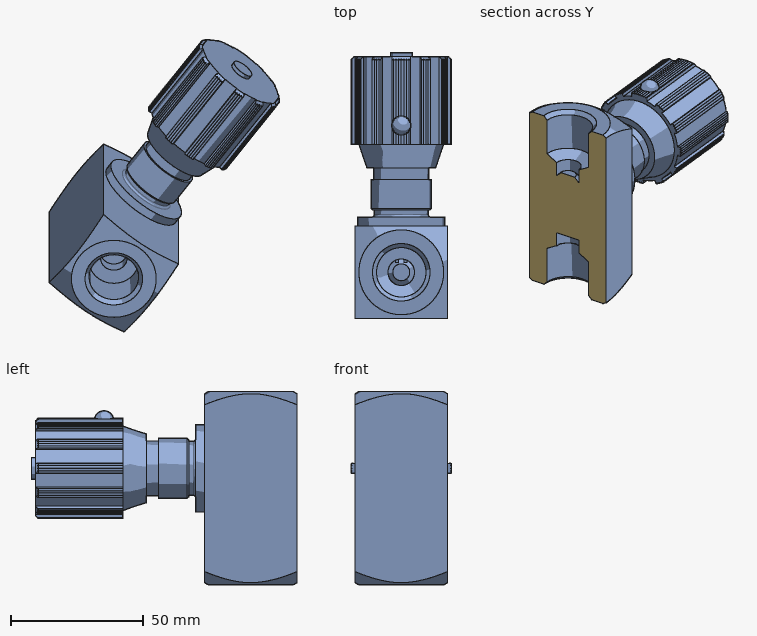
import cadquery as cq
import math

BODY_SIDE = 35.0
BODY_HEIGHT = 73.0
END_FACE_DIA = 32.0
END_BEVEL_ANGLE = 30.0

PORT_BORE_DIA = 18.63
PORT_BORE_DEPTH = 16.0
PORT_MOUTH_DIA = 21.7
PORT_FLOOR_ANGLE = 30.0
PASSAGE_DIA = 10.0
PASSAGE_DEPTH = 24.0

NOSE_TIP_DIA = 6.4
NOSE_HEIGHT = (PASSAGE_DIA - NOSE_TIP_DIA) / 2
NOTCH_INNER_X = 0.95
NOTCH_OUTER_X = 2.1
NOTCH_FLOOR_Y = 3.7

SPINDLE_AXIS_Z = 7.5
FLANGE_DIA = 33.0
FLANGE_END_Y = 20.8
FLANGE_FILLET = 0.9
GROOVE_DIA = 20.5
GROOVE_END_Y = 23.4
COLLAR_DIA = 22.7
COLLAR_CHAMFER = 0.6
COLLAR_END_Y = 34.9
NECK_DIA = 20.8
SKIRT_START_Y = 39.4
SKIRT_START_DIA = 26.0
SKIRT_END_DIA = 32.0
SPINDLE_TIP_DIA = 8.3
SPINDLE_TIP_Y = 82.8

GRIP_START_Y = 48.25
GRIP_END_Y = 81.3
GRIP_DIA = 38.0
DRUM_DIA = 35.0
GRIP_CHAMFER = 1.2
PAD_COUNT = 12
PAD_TEETH = 4
WIDE_PAD_TEETH = 8
WIDE_PAD_WIDTH = 7.0
WIDE_PAD_ANGLE = 90.0
TOOTH_PITCH_ANGLE = 3.0
TOOTH_DEPTH = 0.35

DOME_RADIUS = 3.7
DOME_CENTRE_Y = 55.35
DOME_CENTRE_HEIGHT = 18.05
DOME_BASE_HEIGHT = GRIP_DIA / 2 - TOOTH_DEPTH


def revolve_about_z(profile):
    """Revolve closed (radius, z) points about the Z axis."""
    return cq.Workplane("XZ").polyline(profile).close().revolve(360, (0, 0), (0, 1))


def make_body():
    """Square bar with both ends turned to a shallow cone."""
    bar = cq.Workplane("XY").box(BODY_SIDE, BODY_SIDE, BODY_HEIGHT)
    half_height = BODY_HEIGHT / 2
    face_radius = END_FACE_DIA / 2
    outer_radius = BODY_SIDE
    bevel_drop = (outer_radius - face_radius) * math.tan(math.radians(END_BEVEL_ANGLE))
    turned = revolve_about_z([
        (0, -half_height),
        (face_radius, -half_height),
        (outer_radius, -half_height + bevel_drop),
        (outer_radius, half_height - bevel_drop),
        (face_radius, half_height),
        (0, half_height),
    ])
    return bar.intersect(turned)


def make_port():
    """Cutter for the upper port: chamfered bore, conical floor and passage."""
    top = BODY_HEIGHT / 2
    mouth_radius = PORT_MOUTH_DIA / 2
    bore_radius = PORT_BORE_DIA / 2
    passage_radius = PASSAGE_DIA / 2
    bore_floor = top - PORT_BORE_DEPTH
    floor_drop = (bore_radius - passage_radius) * math.tan(math.radians(PORT_FLOOR_ANGLE))
    return revolve_about_z([
        (0, top),
        (mouth_radius, top),
        (bore_radius, top - (mouth_radius - bore_radius)),
        (bore_radius, bore_floor),
        (passage_radius, bore_floor - floor_drop),
        (passage_radius, top - PASSAGE_DEPTH),
        (0, top - PASSAGE_DEPTH),
    ])


def make_nose():
    """Conical nose standing on the floor of the upper passage."""
    base_z = BODY_HEIGHT / 2 - PASSAGE_DEPTH
    nose = revolve_about_z([
        (0, base_z),
        (PASSAGE_DIA / 2, base_z),
        (NOSE_TIP_DIA / 2, base_z + NOSE_HEIGHT),
        (0, base_z + NOSE_HEIGHT),
    ])
    notch_width = NOTCH_OUTER_X - NOTCH_INNER_X
    notch_length = PASSAGE_DIA / 2 - NOTCH_FLOOR_Y
    for side in (-1, 1):
        notch_x = side * (NOTCH_INNER_X + NOTCH_OUTER_X) / 2
        notch_y = NOTCH_FLOOR_Y + notch_length / 2
        notch = (
            cq.Workplane("XY", origin=(notch_x, notch_y, base_z))
            .rect(notch_width, notch_length)
            .extrude(NOSE_HEIGHT)
        )
        nose = nose.cut(notch)
    return nose


def make_spindle():
    """Flange, groove, collar, neck, knob skirt and spindle tip in one turning."""
    groove_radius = GROOVE_DIA / 2
    collar_radius = COLLAR_DIA / 2
    fillet_bend = FLANGE_FILLET * (1 - math.sqrt(0.5))
    profile = (
        cq.Workplane("XY")
        .moveTo(0, BODY_SIDE / 2)
        .lineTo(FLANGE_DIA / 2, BODY_SIDE / 2)
        .lineTo(FLANGE_DIA / 2, FLANGE_END_Y)
        .lineTo(groove_radius + FLANGE_FILLET, FLANGE_END_Y)
        .threePointArc(
            (groove_radius + fillet_bend, FLANGE_END_Y + fillet_bend),
            (groove_radius, FLANGE_END_Y + FLANGE_FILLET),
        )
        .lineTo(groove_radius, GROOVE_END_Y)
        .lineTo(collar_radius - COLLAR_CHAMFER, GROOVE_END_Y)
        .lineTo(collar_radius, GROOVE_END_Y + COLLAR_CHAMFER)
        .lineTo(collar_radius, COLLAR_END_Y)
        .lineTo(NECK_DIA / 2, COLLAR_END_Y)
        .lineTo(NECK_DIA / 2, SKIRT_START_Y)
        .lineTo(SKIRT_START_DIA / 2, SKIRT_START_Y)
        .lineTo(SKIRT_END_DIA / 2, GRIP_START_Y)
        .lineTo(SPINDLE_TIP_DIA / 2, GRIP_START_Y)
        .lineTo(SPINDLE_TIP_DIA / 2, SPINDLE_TIP_Y)
        .lineTo(0, SPINDLE_TIP_Y)
        .close()
    )
    return profile.revolve(360, (0, 0), (0, 1)).translate((0, 0, SPINDLE_AXIS_Z))


def polar_point(radius, degrees):
    angle = math.radians(degrees)
    return (radius * math.cos(angle), radius * math.sin(angle))


def make_pad(centre_angle, tooth_count):
    """One grip pad: a radial wedge whose outer face is a row of rounded teeth."""
    half_angle = tooth_count * TOOTH_PITCH_ANGLE / 2
    tip_radius = GRIP_DIA / 2
    root_radius = tip_radius - TOOTH_DEPTH
    start_angle = centre_angle - half_angle
    pad = (
        cq.Workplane("XZ", origin=(0, GRIP_START_Y, SPINDLE_AXIS_Z))
        .moveTo(0, 0)
        .lineTo(*polar_point(root_radius, start_angle))
    )
    for tooth in range(tooth_count):
        tooth_start = start_angle + tooth * TOOTH_PITCH_ANGLE
        tip = polar_point(tip_radius, tooth_start + TOOTH_PITCH_ANGLE / 2)
        next_root = polar_point(root_radius, tooth_start + TOOTH_PITCH_ANGLE)
        pad = pad.threePointArc(tip, next_root)
    return pad.close().extrude(GRIP_START_Y - GRIP_END_Y)


def make_wide_pad():
    """The uppermost pad: a broader row of teeth between flat, parallel sides."""
    width_limit = (
        cq.Workplane("XZ", origin=(0, GRIP_START_Y, SPINDLE_AXIS_Z))
        .rect(WIDE_PAD_WIDTH, GRIP_DIA)
        .extrude(GRIP_START_Y - GRIP_END_Y)
    )
    return make_pad(WIDE_PAD_ANGLE, WIDE_PAD_TEETH).intersect(width_limit)


def make_grip():
    """Drum with its pads, the uppermost one wide, with the outer end of the grip chamfered."""
    grip_length = GRIP_END_Y - GRIP_START_Y
    grip = (
        cq.Workplane("XZ", origin=(0, GRIP_START_Y, SPINDLE_AXIS_Z))
        .circle(DRUM_DIA / 2)
        .extrude(-grip_length)
    )
    for index in range(PAD_COUNT):
        centre_angle = index * 360 / PAD_COUNT
        if math.isclose(centre_angle, WIDE_PAD_ANGLE):
            grip = grip.union(make_wide_pad())
        else:
            grip = grip.union(make_pad(centre_angle, PAD_TEETH))
    envelope = (
        cq.Workplane("XZ", origin=(0, GRIP_START_Y, SPINDLE_AXIS_Z))
        .circle(GRIP_DIA / 2)
        .extrude(-grip_length)
        .faces(">Y")
        .chamfer(GRIP_CHAMFER)
    )
    return grip.intersect(envelope)


def make_dome():
    """Flat-based ball cap, the screw head seated on the wide pad."""
    cap_bottom = DOME_BASE_HEIGHT - DOME_CENTRE_HEIGHT
    above_base = (
        cq.Workplane("XY", origin=(0, 0, cap_bottom))
        .circle(DOME_RADIUS)
        .extrude(DOME_RADIUS)
    )
    cap = cq.Workplane("XY").sphere(DOME_RADIUS).intersect(above_base)
    return cap.translate((0, DOME_CENTRE_Y, SPINDLE_AXIS_Z + DOME_CENTRE_HEIGHT))


upper_port = make_port()
lower_port = upper_port.mirror("XY")

result = (
    make_body()
    .union(make_spindle())
    .cut(upper_port)
    .cut(lower_port)
    .union(make_nose())
    .union(make_grip())
    .union(make_dome())
)